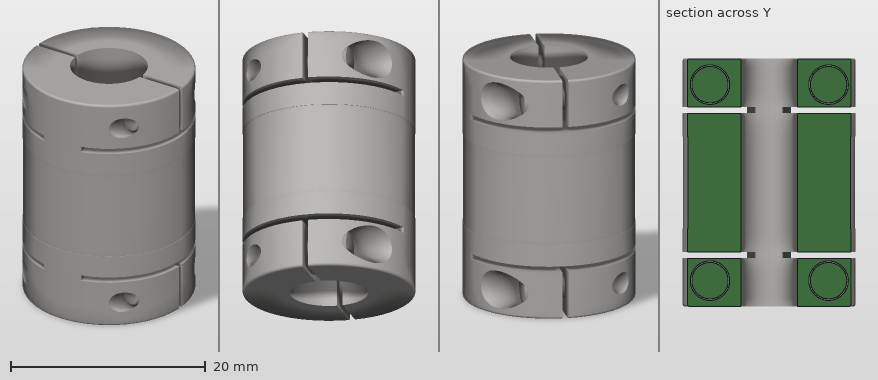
import cadquery as cq
length = 25.5
hub_diameter = 17.8
sleeve_diameter = 17.7
hub_length = 8.0
hub_radius = hub_diameter / 2
rim_fillet = 0.25

bore_diameter = 8.0

clamp_length = 5.0
slot_width = 0.6
web_waist = 2.32
web_flank_radius = 33.65

screw_offset = 6.1
screw_depth = 2.68
screw_diameter = 2.25
screw_tip_diameter = 1.6
head_diameter = 3.8
head_chamfer = 0.4
counterbore_diameter = 4.0
head_top = 4.0
head_seat = 2.0
screw_tip = -5.13


def cylinder_along_y(diameter, y_start, y_end):
    """Cylinder centred on X = Z = 0 that runs between two Y positions."""
    sketch = cq.Workplane("XZ", origin=(0, y_start, 0)).circle(diameter / 2)
    return sketch.extrude(y_start - y_end)


def make_body():
    """Plain barrel with rounded rims, a recessed sleeve and a through bore."""
    barrel = cq.Workplane("XY").circle(hub_radius).extrude(length).faces("<Z or >Z").edges().fillet(rim_fillet)
    recess = (
        cq.Workplane("XY", origin=(0, 0, hub_length))
        .circle(hub_diameter)
        .circle(sleeve_diameter / 2)
        .extrude(length - 2 * hub_length)
    )
    bore = cq.Workplane("XY").circle(bore_diameter / 2).extrude(length)
    return barrel.cut(recess).cut(bore)


def make_clamp_slots():
    """Jaw split and cross slots of the clamp that starts at Z = 0."""
    split = cq.Workplane("XY").box(
        hub_diameter, slot_width, clamp_length + slot_width, centered=(True, True, False)
    )
    flank_center = web_waist / 2 + web_flank_radius
    cross_slots = (
        cq.Workplane("XY", origin=(0, 0, clamp_length))
        .pushPoints([(-flank_center, 0), (flank_center, 0)])
        .circle(web_flank_radius)
        .extrude(slot_width)
    )
    return split.union(cross_slots)


def make_screw_hole():
    """Through hole along Y with a counterbore at +Y."""
    through = cylinder_along_y(screw_diameter, -hub_radius, hub_radius)
    return through.union(cylinder_along_y(counterbore_diameter, head_seat, hub_radius))


def make_screw():
    """Cap screw with its head at +Y, filling the hole."""
    tip_chamfer = (screw_diameter - screw_tip_diameter) / 2
    shank = cylinder_along_y(screw_diameter, screw_tip, head_seat).faces("<Y").chamfer(tip_chamfer)
    head = cylinder_along_y(head_diameter, head_seat, head_top).faces(">Y").chamfer(head_chamfer)
    return shank.union(head)


result = make_body()
lower_slots = make_clamp_slots()
upper_slots = lower_slots.mirror("XY").translate((0, 0, length))
result = result.cut(lower_slots).cut(upper_slots)

screw_places = [
    (x, 0, z)
    for x in (-screw_offset, screw_offset)
    for z in (screw_depth, length - screw_depth)
]
for place in screw_places:
    result = result.cut(make_screw_hole().translate(place))
    result = result.union(make_screw().translate(place))